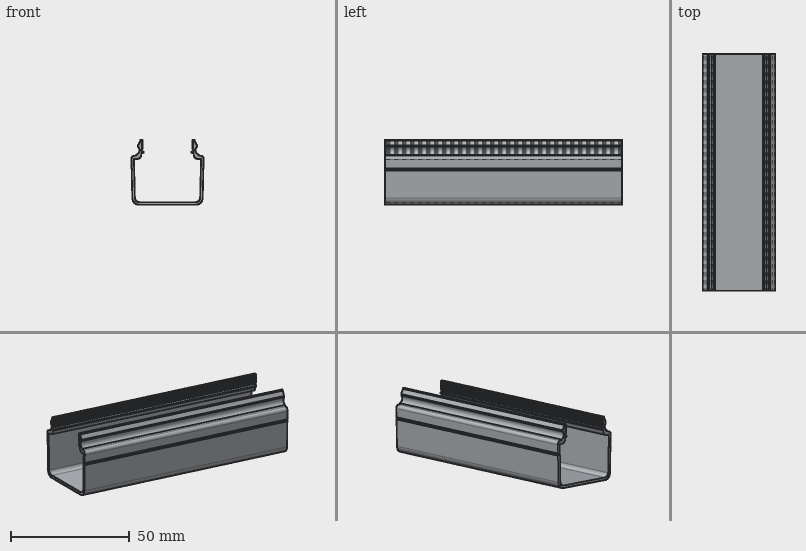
import cadquery as cq
import math

LENGTH = 100.0
WIDTH = 30.6
HEIGHT = 27.5
HALF_WIDTH = WIDTH / 2

WALL = 1.2
FLOOR_HALF_WIDTH = 14.9
CORNER_RADIUS = 3.0
INNER_CORNER_RADIUS = CORNER_RADIUS - WALL
SHOULDER_Z = 20.8
SHOULDER_RADIUS = 1.5
SHOULDER_THICKNESS = 1.5
CEILING_Z = SHOULDER_Z - SHOULDER_THICKNESS

GROOVE_Z = 15.0
GROOVE_HEIGHT = 1.0
GROOVE_FLOOR_HEIGHT = 0.4
GROOVE_DEPTH = 0.3

FOOT_X = 13.1
FOOT_FILLET = 0.4
NECK_END_X = 12.8
NECK_END_Z = 21.4
NECK_X = 11.9
NECK_Z = 23.2
LEG_INNER_X = 11.0
BARB_X = 12.5
BARB_BOTTOM_Z = 24.5
BARB_HEIGHT = 0.6
BARB_CORNER_Z = BARB_BOTTOM_Z + BARB_HEIGHT
TIP_OUTER_X = 11.4
TIP_SIDE_HEIGHT = 0.4
ELBOW_RADIUS = 1.9

LIP_X = 10.1
LIP_CHAMFER = 0.3
LIP_TOP_Z = 22.4
LIP_BOTTOM_Z = 22.1
LIP_ROOT_TOP_Z = 22.9
LIP_ROOT_BOTTOM_Z = 21.8
TIP_INNER_X = 10.7
TIP_INNER_HEIGHT = 0.2
TOOTH_COUNT = 7
TOOTH_PITCH = 0.6
TOOTH_TIP_X = 10.4
TOOTH_ROOT_X = 10.8


def outer_wall_x(z):
    """Half-width of the outside of the leaning wall at height z."""
    bottom = CORNER_RADIUS
    top = SHOULDER_Z - SHOULDER_RADIUS
    lean = (HALF_WIDTH - FLOOR_HALF_WIDTH) / (top - bottom)
    return FLOOR_HALF_WIDTH + lean * (z - bottom)


def arc_middle(center, radius, degrees):
    """Point at the given angle on a circle, used as the midpoint of an arc."""
    angle = math.radians(degrees)
    return (center[0] + radius * math.cos(angle), center[1] + radius * math.sin(angle))


def add_outside(profile):
    """Trace the outside from the floor centre up to the tip of the leg."""
    corner_center = (FLOOR_HALF_WIDTH - CORNER_RADIUS, CORNER_RADIUS)
    shoulder_center = (HALF_WIDTH - SHOULDER_RADIUS, SHOULDER_Z - SHOULDER_RADIUS)
    foot_center = (FOOT_X + FOOT_FILLET, SHOULDER_Z + FOOT_FILLET)
    groove_bottom = GROOVE_Z - GROOVE_HEIGHT / 2
    groove_floor_x = outer_wall_x(GROOVE_Z) - GROOVE_DEPTH
    groove_top = GROOVE_Z + GROOVE_HEIGHT / 2
    return (
        profile
        .lineTo(corner_center[0], 0)
        .threePointArc(
            arc_middle(corner_center, CORNER_RADIUS, -45),
            (FLOOR_HALF_WIDTH, CORNER_RADIUS),
        )
        .lineTo(outer_wall_x(groove_bottom), groove_bottom)
        .lineTo(groove_floor_x, GROOVE_Z - GROOVE_FLOOR_HEIGHT / 2)
        .lineTo(groove_floor_x, GROOVE_Z + GROOVE_FLOOR_HEIGHT / 2)
        .lineTo(outer_wall_x(groove_top), groove_top)
        .lineTo(HALF_WIDTH, shoulder_center[1])
        .threePointArc(
            arc_middle(shoulder_center, SHOULDER_RADIUS, 45),
            (shoulder_center[0], SHOULDER_Z),
        )
        .lineTo(foot_center[0], SHOULDER_Z)
        .threePointArc(
            arc_middle(foot_center, FOOT_FILLET, 225),
            (FOOT_X, foot_center[1]),
        )
        .lineTo(NECK_END_X, NECK_END_Z)
        .threePointArc((NECK_X, NECK_Z), (BARB_X, BARB_BOTTOM_Z))
        .lineTo(BARB_X, BARB_CORNER_Z)
        .lineTo(TIP_OUTER_X, HEIGHT - TIP_SIDE_HEIGHT)
        .lineTo(TIP_OUTER_X, HEIGHT)
    )


def add_teeth(profile):
    """Trace the saw teeth from the tip of the leg downwards."""
    first_tooth_z = HEIGHT - TIP_INNER_HEIGHT
    profile = profile.lineTo(TIP_INNER_X, HEIGHT)
    for tooth in range(TOOTH_COUNT):
        top = first_tooth_z - tooth * TOOTH_PITCH
        profile = (
            profile
            .lineTo(TOOTH_TIP_X, top)
            .lineTo(TOOTH_ROOT_X, top - TOOTH_PITCH / 2)
        )
    return profile.lineTo(LEG_INNER_X, first_tooth_z - TOOTH_COUNT * TOOTH_PITCH)


def add_inside(profile):
    """Trace the inside from below the teeth down to the floor centre."""
    elbow_center = (LEG_INNER_X + ELBOW_RADIUS, CEILING_Z + ELBOW_RADIUS)
    inner_floor_x = FLOOR_HALF_WIDTH - WALL
    inner_center = (inner_floor_x - INNER_CORNER_RADIUS, CORNER_RADIUS)
    return (
        profile
        .lineTo(LEG_INNER_X, LIP_ROOT_TOP_Z)
        .lineTo(LIP_X, LIP_TOP_Z)
        .lineTo(LIP_X, LIP_BOTTOM_Z)
        .lineTo(LIP_X + LIP_CHAMFER, LIP_ROOT_BOTTOM_Z)
        .lineTo(LEG_INNER_X, LIP_ROOT_BOTTOM_Z)
        .lineTo(LEG_INNER_X, elbow_center[1])
        .threePointArc(
            arc_middle(elbow_center, ELBOW_RADIUS, 225),
            (elbow_center[0], CEILING_Z),
        )
        .lineTo(outer_wall_x(CEILING_Z) - WALL, CEILING_Z)
        .lineTo(inner_floor_x, CORNER_RADIUS)
        .threePointArc(
            arc_middle(inner_center, INNER_CORNER_RADIUS, -45),
            (inner_center[0], WALL),
        )
        .lineTo(0, WALL)
    )


profile = cq.Workplane("XZ").moveTo(0, 0)
profile = add_outside(profile)
profile = add_teeth(profile)
profile = add_inside(profile)
right_half = profile.close().extrude(-LENGTH)

result = right_half.union(right_half.mirror("YZ"))